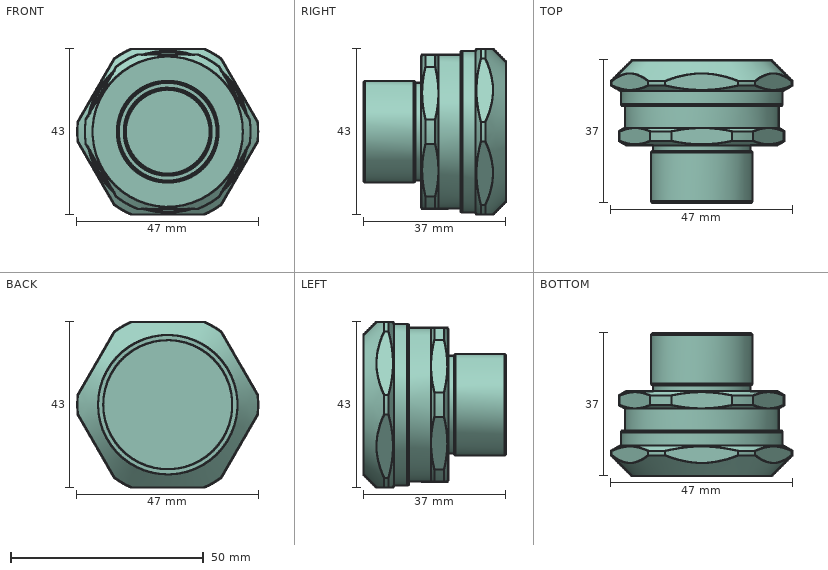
import cadquery as cq
import math


tube_dia = 26.4
tube_end = 13.6
neck_dia = 25.4
tube_chamfer = (tube_dia - neck_dia) / 2
bore_dia = 21.8
bore_chamfer = 0.5
bore_depth = 13.0

front_hex_start = 15.0
front_hex_end = 19.5
front_hex_flats = 40.0
front_hex_corner_dia = 43.0
front_hex_face_dia = 39.0

body_dia = 40.0
flange_start = 25.25
flange_dia = 42.0
flange_chamfer_length = 0.5
flange_chamfer_depth = 0.3

rear_hex_start = 29.1
rear_hex_flats = 43.0
rear_hex_corner_dia = 47.0
rear_end = 37.05
rear_face_dia = 36.17
recess_dia = 33.5
recess_depth = 0.7

hex_chamfer_slope = math.tan(math.radians(30))


def turned(profile):
    """Revolve a closed (radius, Y) outline about the Y axis."""
    return cq.Workplane("XY").polyline(profile).close().revolve(360, (0, 0, 0), (0, 1, 0))


def cylinder(diameter, start, end):
    radius = diameter / 2
    return turned([(0, start), (radius, start), (radius, end), (0, end)])


def hex_prism(across_flats, start, end):
    """Hexagonal prism along Y, with corners on the X axis."""
    across_corners = across_flats / math.cos(math.radians(30))
    plane = cq.Workplane("XZ", origin=(0, end, 0))
    return plane.polygon(6, across_corners).extrude(end - start)


def hex_section(across_flats, corner_dia, front_dia, back_dia, start, end, back_slope):
    """Hexagon whose corners are trimmed by a cylinder and a cone at each end."""
    corner_radius = corner_dia / 2
    front_radius = front_dia / 2
    back_radius = back_dia / 2
    front_corner = start + (corner_radius - front_radius) * hex_chamfer_slope
    back_corner = end - (corner_radius - back_radius) * back_slope
    envelope = turned([
        (0, start),
        (front_radius, start),
        (corner_radius, front_corner),
        (corner_radius, back_corner),
        (back_radius, end),
        (0, end),
    ])
    return hex_prism(across_flats, start, end).intersect(envelope)


tube = cylinder(tube_dia, 0, tube_end).faces("<Y or >Y").chamfer(tube_chamfer)
neck = cylinder(neck_dia, tube_end - tube_chamfer, front_hex_start)

front_hex = hex_section(
    front_hex_flats, front_hex_corner_dia, front_hex_face_dia, body_dia,
    front_hex_start, front_hex_end, hex_chamfer_slope,
)
body = cylinder(body_dia, front_hex_end, flange_start)

flange_radius = flange_dia / 2
flange = turned([
    (0, flange_start),
    (flange_radius - flange_chamfer_depth, flange_start),
    (flange_radius, flange_start + flange_chamfer_length),
    (flange_radius, rear_hex_start),
    (0, rear_hex_start),
])

rear_hex = hex_section(
    rear_hex_flats, rear_hex_corner_dia, flange_dia, rear_face_dia,
    rear_hex_start, rear_end, 1,
)

bore_radius = bore_dia / 2
bore = turned([
    (0, 0),
    (bore_radius + bore_chamfer, 0),
    (bore_radius, bore_chamfer),
    (bore_radius, bore_depth),
    (0, bore_depth),
])
recess = cylinder(recess_dia, rear_end - recess_depth, rear_end)

result = tube.union(neck).union(front_hex).union(body).union(flange).union(rear_hex)
result = result.cut(bore).cut(recess)